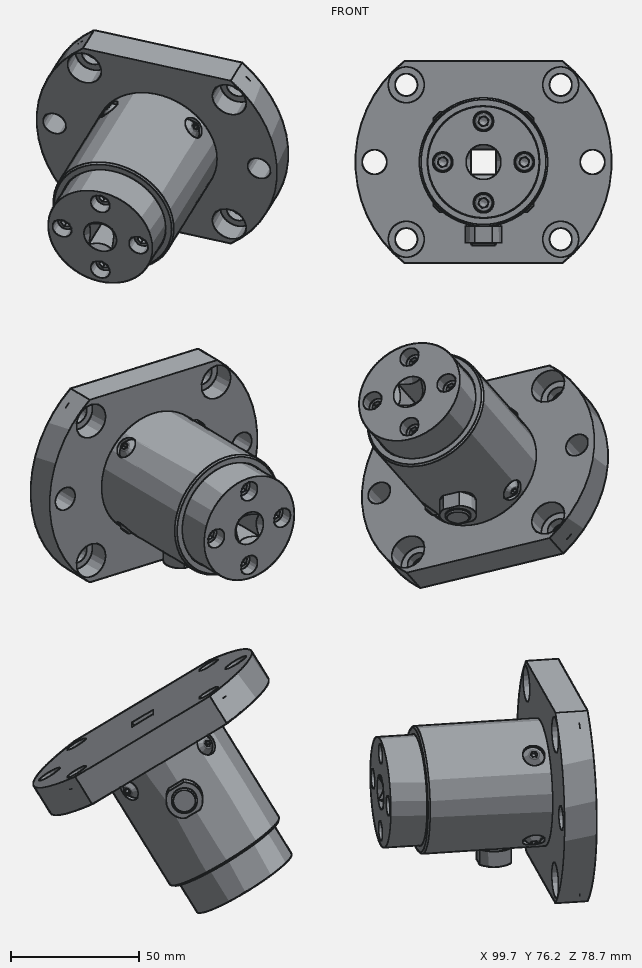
import cadquery as cq
import math


FLANGE_DIAMETER = 99.7
FLANGE_HEIGHT = 78.7
FLANGE_THICKNESS = 12.8
BOLT_SPACING = 60.0
BOLT_HOLE_DIAMETER = 8.6
BOLT_HEAD_DIAMETER = 14.0
BOLT_HEAD_DEPTH = 8.8
SIDE_HOLE_DIAMETER = 9.5
SIDE_HOLE_SPACING = 84.8

TOTAL_LENGTH = 76.2
HUB_DIAMETER = 50.0
HUB_FRONT = 61.9
HUB_CHAMFER = 0.7
NOSE_DIAMETER = 43.3
GAP_WIDTH = 0.2
GAP_DEPTH = 1.0

SQUARE_SIDE = 9.6
MOUTH_DIAMETER = 13.6
MOUTH_HALF_ANGLE = 45.0

SCREW_CIRCLE_DIAMETER = 31.7
SCREW_COUNT = 4
SCREW_POCKET_DIAMETER = 7.9
SCREW_HEAD_DIAMETER = 6.9
SCREW_HEAD_DEPTH = 4.2
SCREW_HEAD_HEIGHT = 4.0
SCREW_POCKET_DEPTH = SCREW_HEAD_DEPTH + SCREW_HEAD_HEIGHT
SCREW_HEAD_FILLET = 0.5
SOCKET_CORNER_DIAMETER = 4.2
SOCKET_TURN = 15.0
SOCKET_DEPTH = 2.0
SOCKET_TIP_DEPTH = 0.8

NIPPLE_COUNT = 4
FIRST_NIPPLE_ANGLE = 45.0
NIPPLE_FROM_FLANGE = 6.1
NIPPLE_DIAMETER = 8.7
NIPPLE_TIP_DIAMETER = 3.8
NIPPLE_TIP_RADIUS = 25.8
NIPPLE_TIP_FILLET = 0.5
NIPPLE_CONE_HEIGHT = 2.7
NIPPLE_SOCKET_CORNER_DIAMETER = 2.6
NIPPLE_SOCKET_DEPTH = 2.0
NIPPLE_SOCKET_TURN = 30.0

PLUG_FROM_FLANGE = 18.6
PLUG_Y = -FLANGE_THICKNESS - PLUG_FROM_FLANGE
PLUG_DIAMETER = 14.3
PLUG_ACROSS_FLATS = 12.6
PLUG_BOTTOM = 31.3
PLUG_NECK_DIAMETER = 13.4
PLUG_NECK_ACROSS_FLATS = 9.5
PLUG_NECK_LENGTH = 5.0
PLUG_TIP_DIAMETER = 10.0
PLUG_TIP_HEIGHT = 1.2
PLUG_TIP_CHAMFER = 0.7


def rod(diameter, start, end):
    """Cylinder on the main axis between two distances in front of the flange back."""
    length = end - start
    return cq.Workplane("XZ", origin=(0, -start, 0)).circle(diameter / 2).extrude(length)


def flange():
    disc = rod(FLANGE_DIAMETER, 0, FLANGE_THICKNESS)
    between_flats = cq.Workplane("XY").box(FLANGE_DIAMETER, 2 * FLANGE_THICKNESS, FLANGE_HEIGHT)
    plate = disc.intersect(between_flats)
    plate = (
        plate.faces("<Y")
        .workplane(origin=(0, 0, 0))
        .rect(BOLT_SPACING, BOLT_SPACING, forConstruction=True)
        .vertices()
        .cboreHole(BOLT_HOLE_DIAMETER, BOLT_HEAD_DIAMETER, BOLT_HEAD_DEPTH)
    )
    side_x = SIDE_HOLE_SPACING / 2
    return (
        plate.faces("<Y")
        .workplane(origin=(0, 0, 0))
        .pushPoints([(-side_x, 0), (side_x, 0)])
        .hole(SIDE_HOLE_DIAMETER)
    )


def hub_and_nose():
    hub = rod(HUB_DIAMETER, FLANGE_THICKNESS, HUB_FRONT).faces("<Y").chamfer(HUB_CHAMFER)
    gap = rod(NOSE_DIAMETER + 2 * GAP_WIDTH, HUB_FRONT - GAP_DEPTH, HUB_FRONT)
    nose = rod(NOSE_DIAMETER, HUB_FRONT - GAP_DEPTH, TOTAL_LENGTH)
    return hub.cut(gap).union(nose)


def drive_hole():
    square = cq.Workplane("XZ").rect(SQUARE_SIDE, SQUARE_SIDE).extrude(TOTAL_LENGTH)
    mouth_radius = MOUTH_DIAMETER / 2
    mouth_depth = mouth_radius / math.tan(math.radians(MOUTH_HALF_ANGLE))
    mouth = cq.Solid.makeCone(
        mouth_radius, 0, mouth_depth, pnt=cq.Vector(0, -TOTAL_LENGTH, 0), dir=cq.Vector(0, 1, 0)
    )
    return square.union(cq.Workplane(mouth))


def screw_space():
    """Empty space around and inside one sunk screw head, opening at z = 0 and going down."""
    pocket = (
        cq.Workplane("XY")
        .circle(SCREW_POCKET_DIAMETER / 2)
        .extrude(-SCREW_POCKET_DEPTH)
    )
    head = (
        cq.Workplane("XY", origin=(0, 0, -SCREW_HEAD_DEPTH))
        .circle(SCREW_HEAD_DIAMETER / 2)
        .extrude(-SCREW_HEAD_HEIGHT)
        .faces(">Z")
        .edges()
        .fillet(SCREW_HEAD_FILLET)
    )
    socket = (
        cq.Workplane("XY", origin=(0, 0, -SCREW_HEAD_DEPTH))
        .polygon(6, SOCKET_CORNER_DIAMETER)
        .extrude(-SOCKET_DEPTH)
        .rotate((0, 0, 0), (0, 0, 1), SOCKET_TURN)
    )
    tip_radius = SOCKET_CORNER_DIAMETER / 2 * math.cos(math.pi / 6)
    tip = cq.Solid.makeCone(
        tip_radius,
        0,
        SOCKET_TIP_DEPTH,
        pnt=cq.Vector(0, 0, -SCREW_HEAD_DEPTH - SOCKET_DEPTH),
        dir=cq.Vector(0, 0, -1),
    )
    return pocket.cut(head).union(socket).union(cq.Workplane(tip))


def cut_screws(body):
    space = screw_space().rotate((0, 0, 0), (1, 0, 0), 90)
    for index in range(SCREW_COUNT):
        angle = math.radians(index * 360 / SCREW_COUNT)
        x = SCREW_CIRCLE_DIAMETER / 2 * math.cos(angle)
        z = SCREW_CIRCLE_DIAMETER / 2 * math.sin(angle)
        body = body.cut(space.translate((x, -TOTAL_LENGTH, z)))
    return body


def nipple_pocket():
    """Round pocket on the Z axis, open to the outside of the hub."""
    floor = NIPPLE_TIP_RADIUS - NIPPLE_CONE_HEIGHT
    pocket = cq.Workplane("XY", origin=(0, 0, floor)).circle(NIPPLE_DIAMETER / 2)
    return pocket.extrude(2 * NIPPLE_CONE_HEIGHT)


def nipple_cone():
    """Cone on the Z axis that stands on the pocket floor, with a hex socket in its rounded tip."""
    floor = NIPPLE_TIP_RADIUS - NIPPLE_CONE_HEIGHT
    cone = cq.Workplane(
        cq.Solid.makeCone(
            NIPPLE_DIAMETER / 2,
            NIPPLE_TIP_DIAMETER / 2,
            NIPPLE_CONE_HEIGHT,
            pnt=cq.Vector(0, 0, floor),
        )
    )
    socket = (
        cq.Workplane("XY", origin=(0, 0, NIPPLE_TIP_RADIUS))
        .polygon(6, NIPPLE_SOCKET_CORNER_DIAMETER)
        .extrude(-NIPPLE_SOCKET_DEPTH)
        .rotate((0, 0, 0), (0, 0, 1), NIPPLE_SOCKET_TURN)
    )
    return cone.faces(">Z").edges().fillet(NIPPLE_TIP_FILLET).cut(socket)


def add_nipples(body):
    offset = (0, -FLANGE_THICKNESS - NIPPLE_FROM_FLANGE, 0)
    pocket = nipple_pocket().translate(offset)
    cone = nipple_cone().translate(offset)
    for index in range(NIPPLE_COUNT):
        angle = FIRST_NIPPLE_ANGLE + index * 360 / NIPPLE_COUNT
        body = body.cut(pocket.rotate((0, 0, 0), (0, 1, 0), angle))
        body = body.union(cone.rotate((0, 0, 0), (0, 1, 0), angle))
    return body


def plug_disc(diameter, across_flats, bottom, top):
    """Upright disc with two flats that face along Y, between two distances below the main axis."""
    base = cq.Workplane("XY", origin=(0, PLUG_Y, -bottom))
    disc = base.circle(diameter / 2).extrude(bottom - top)
    between_flats = base.rect(diameter, across_flats).extrude(bottom - top)
    return disc.intersect(between_flats)


def plug():
    head_top = HUB_DIAMETER / 2
    head = plug_disc(PLUG_DIAMETER, PLUG_ACROSS_FLATS, PLUG_BOTTOM, head_top)
    neck = plug_disc(PLUG_NECK_DIAMETER, PLUG_NECK_ACROSS_FLATS, head_top, head_top - PLUG_NECK_LENGTH)
    tip = (
        cq.Workplane("XY", origin=(0, PLUG_Y, -PLUG_BOTTOM))
        .circle(PLUG_TIP_DIAMETER / 2)
        .extrude(-PLUG_TIP_HEIGHT)
        .faces("<Z")
        .chamfer(PLUG_TIP_CHAMFER)
    )
    return head.union(tip).union(neck)


result = flange().union(hub_and_nose()).union(plug())
result = cut_screws(result.cut(drive_hole()))
result = add_nipples(result)